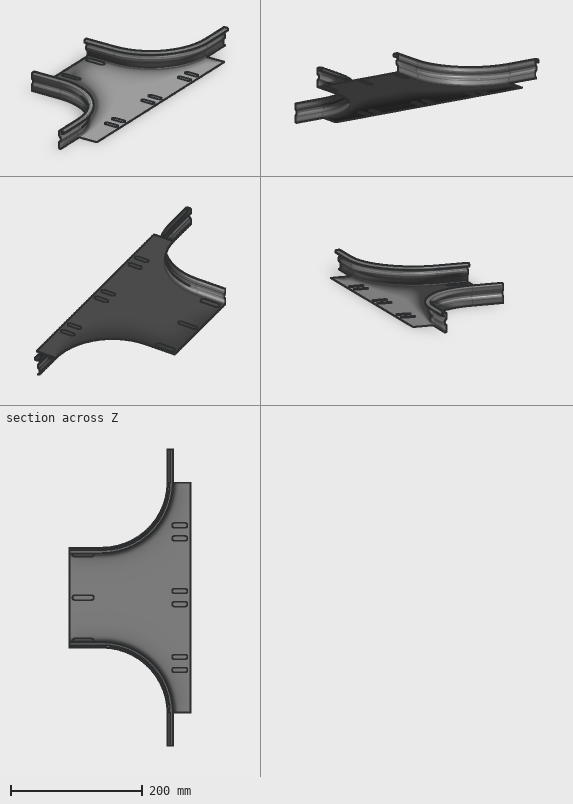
import cadquery as cq
import math

length_y = 451.0
length_x = 185.0
height = 31.0
sheet = 0.7
bend_radius = 98.8
straight = 50.5

arm_half_width = length_y / 2 - bend_radius - straight
rail_x = straight + bend_radius
floor_half_length = arm_half_width + bend_radius
bend_center = (straight, floor_half_length)

foot_radius = 2.3
foot_end = 3.0
shoulder_radius = 2.5
lip_reach = 9.0
lip_radius = 2.5
lip_end = 4.0
groove_z = 16.2
groove_half_width = 6.8
groove_depth = 3.0
groove_share = 0.6
join_tolerance = 4.51e-06

slot_depth = 0.35
narrow_slot_width = 7.0
arm_slot_length = 33.0
arm_slot_x = 21.0
corner_slot_y = 66.7
corner_slot_width = 9.5
back_slot_length = 23.5
back_slot_x = 168.0
back_slot_pair_ys = (-100.0, 0, 100.0)
back_slot_half_pitch = 10.0


def arc_point(center, radius, degrees):
    """Point on a circle at the given angle."""
    angle = math.radians(degrees)
    return (center[0] + radius * math.cos(angle), center[1] + radius * math.sin(angle))


def section_arcs(depth):
    """Arcs, from foot to lip, of the section line lying `depth` inside the outer sheet face.

    Each arc is (center, radius, start angle, end angle); straight lines join them.
    """
    arc_sum = (groove_half_width**2 + groove_depth**2) / (2 * groove_depth)
    center_radius = groove_share * arc_sum
    edge_radius = arc_sum - center_radius
    turn = math.degrees(math.asin(groove_half_width / arc_sum))
    edge_low = (edge_radius, groove_z - groove_half_width)
    edge_high = (edge_radius, groove_z + groove_half_width)
    groove_center = (groove_depth - center_radius, groove_z)
    foot = (foot_radius, foot_radius)
    shoulder = (shoulder_radius, height - shoulder_radius)
    lip = (lip_reach - lip_radius, height - lip_radius)
    return [
        (foot, foot_radius - depth, 270, 180),
        (edge_low, edge_radius - depth, 180, 180 - turn),
        (groove_center, center_radius + depth, -turn, turn),
        (edge_high, edge_radius - depth, 180 + turn, 180),
        (shoulder, shoulder_radius - depth, 180, 90),
        (lip, lip_radius - depth, 90, -90),
    ]


def trace(sketch, position, arcs):
    """Draw the arcs in order, with a straight line wherever one does not start where the last ended."""
    for center, radius, start, end in arcs:
        middle = (start + end) / 2
        first = arc_point(center, radius, start)
        if math.dist(first, position) > join_tolerance:
            sketch = sketch.lineTo(*first)
        position = arc_point(center, radius, end)
        sketch = sketch.threePointArc(arc_point(center, radius, middle), position)
    return sketch


def rail_section(plane):
    """Closed outline of the bent sheet, from the foot up to the folded-back lip and down again."""
    inner_arcs = [(c, r, end, start) for c, r, start, end in reversed(section_arcs(sheet))]
    lip_bottom = height - 2 * lip_radius
    start = (foot_end, 0)
    fold = (lip_end, lip_bottom + sheet)
    sketch = trace(cq.Workplane(plane).moveTo(*start), start, section_arcs(0))
    sketch = sketch.lineTo(lip_end, lip_bottom).lineTo(*fold)
    sketch = trace(sketch, fold, inner_arcs)
    return sketch.lineTo(foot_end, sheet).close()


def make_rail():
    """Rail on the +Y side: straight along X, quarter bend, straight along Y."""
    arm_plane = cq.Plane((0, arm_half_width, 0), xDir=(0, -1, 0), normal=(-1, 0, 0))
    end_plane = cq.Plane((rail_x, floor_half_length, 0), xDir=(1, 0, 0), normal=(0, -1, 0))
    arm = rail_section(arm_plane).extrude(-straight)
    end = rail_section(end_plane).extrude(-straight)
    bend = rail_section(end_plane).revolve(90, (-bend_radius, 0), (-bend_radius, -1))
    return arm.union(bend).union(end)


def make_floor():
    """Floor, set back from the outer wall face so that the rail's foot forms its edge."""
    inset = foot_radius
    edge_radius = bend_radius + inset
    arm_y = arm_half_width - inset
    edge_x = rail_x + inset
    return (
        cq.Workplane("XY")
        .moveTo(0, -arm_y)
        .lineTo(straight, -arm_y)
        .threePointArc(
            arc_point((straight, -floor_half_length), edge_radius, 45), (edge_x, -floor_half_length)
        )
        .lineTo(length_x, -floor_half_length)
        .lineTo(length_x, floor_half_length)
        .lineTo(edge_x, floor_half_length)
        .threePointArc(arc_point(bend_center, edge_radius, -45), (straight, arm_y))
        .lineTo(0, arm_y)
        .close()
        .extrude(sheet)
    )


def make_slots(centers, slot_length, slot_width):
    floor_top = cq.Workplane("XY").workplane(offset=sheet)
    return floor_top.pushPoints(centers).slot2D(slot_length, slot_width).extrude(-slot_depth)


corner_slot_centers = [(arm_slot_x, -corner_slot_y), (arm_slot_x, corner_slot_y)]
back_slot_centers = [
    (back_slot_x, pair_y + side * back_slot_half_pitch) for pair_y in back_slot_pair_ys for side in (-1, 1)
]

rail = make_rail()
result = make_floor().union(rail).union(rail.mirror("XZ"))
result = result.cut(make_slots(corner_slot_centers, arm_slot_length, corner_slot_width))
result = result.cut(make_slots([(arm_slot_x, 0)], arm_slot_length, narrow_slot_width))
result = result.cut(make_slots(back_slot_centers, back_slot_length, narrow_slot_width))